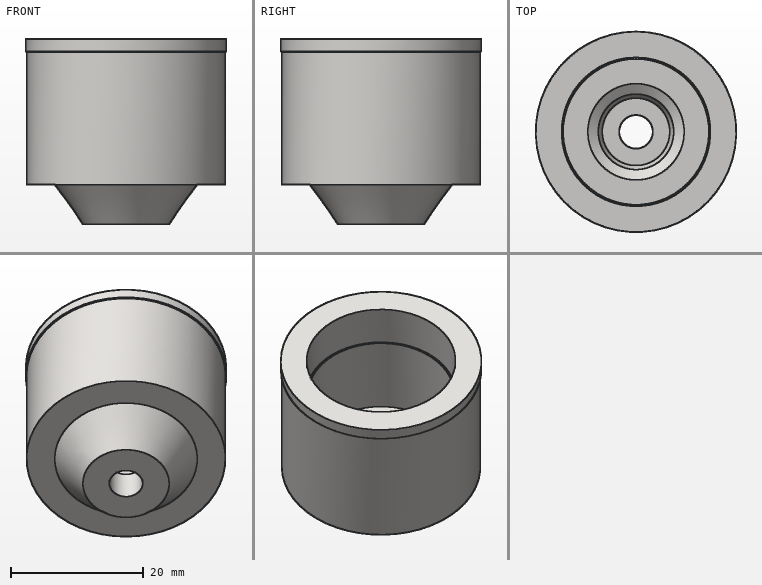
import cadquery as cq

TOTAL_HEIGHT = 28.0
NOSE_HEIGHT = 6.0
RIM_HEIGHT = 1.85
MOUTH_DEPTH = 6.82
BORE_DEPTH = 20.0
FUNNEL_DEPTH = 0.9
CUP_DEPTH = 1.7

RIM_BEVEL = 0.135
RIM_RADIUS = 15.15
BODY_RADIUS = RIM_RADIUS - RIM_BEVEL
NOSE_BASE_RADIUS = 10.75
NOSE_TIP_RADIUS = 6.5
NOSE_FLANK_HOLLOW = 0.1

MOUTH_RADIUS = 11.25
BORE_RADIUS = 11.0
FUNNEL_RADIUS = 7.27
CUP_RADIUS = 5.7
CUP_FLOOR_RADIUS = 5.1
OUTLET_RADIUS = 2.5

rim_bottom = TOTAL_HEIGHT - RIM_HEIGHT
body_top = rim_bottom - RIM_BEVEL
ledge_height = TOTAL_HEIGHT - MOUTH_DEPTH
bore_floor = TOTAL_HEIGHT - BORE_DEPTH
funnel_bottom = bore_floor - FUNNEL_DEPTH
cup_floor = funnel_bottom - CUP_DEPTH

half_section = (
    cq.Workplane("YZ")
    .moveTo(OUTLET_RADIUS, 0)
    .lineTo(OUTLET_RADIUS, cup_floor)
    .lineTo(CUP_FLOOR_RADIUS, cup_floor)
    .lineTo(CUP_RADIUS, funnel_bottom)
    .lineTo(FUNNEL_RADIUS, bore_floor)
    .lineTo(BORE_RADIUS, bore_floor)
    .lineTo(BORE_RADIUS, ledge_height)
    .lineTo(MOUTH_RADIUS, ledge_height)
    .lineTo(MOUTH_RADIUS, TOTAL_HEIGHT)
    .lineTo(RIM_RADIUS, TOTAL_HEIGHT)
    .lineTo(RIM_RADIUS, rim_bottom)
    .lineTo(BODY_RADIUS, body_top)
    .lineTo(BODY_RADIUS, NOSE_HEIGHT)
    .lineTo(NOSE_BASE_RADIUS, NOSE_HEIGHT)
    .sagittaArc((NOSE_TIP_RADIUS, 0), -NOSE_FLANK_HOLLOW)
    .close()
)

result = half_section.revolve(360, (0, 0), (0, 1))